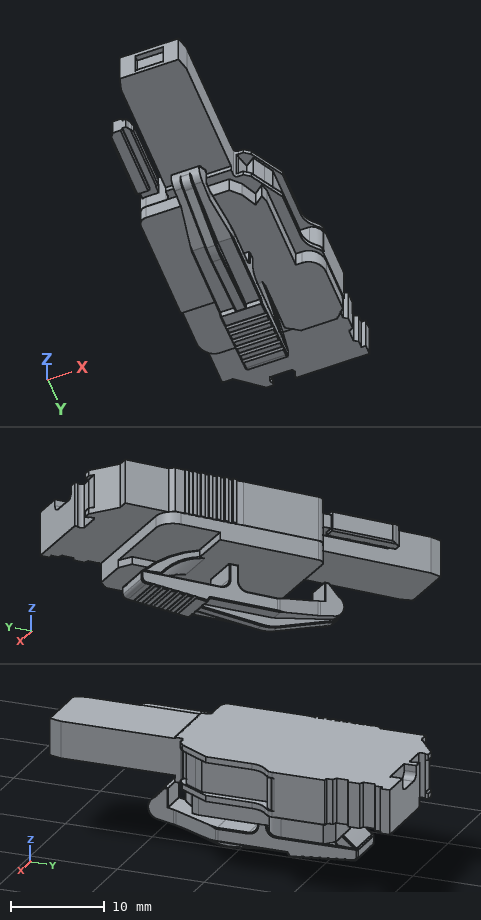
import cadquery as cq

LENGTH = 41.5
BODY_TOP = 5.15
BODY_RIGHT = 16.5
FRONT_FACE = 15.6
NECK_END = 14.55
CORNER_RADIUS = 0.9
NECK_FILLET = 0.4
FLANGE = 0.68

TAIL_WIDTH = 7.5
TAIL_LEFT = 3.6
TAIL_RIGHT = TAIL_LEFT + TAIL_WIDTH
TAIL_CENTER = TAIL_LEFT + TAIL_WIDTH / 2
TAIL_BOTTOM = 0.75
TAIL_TOP = 5.02
TAIL_TAPER_LENGTH = 1.4
TAIL_TAPER_INSET = 0.38
SOCKET_WIDTH = 3.2
SOCKET_BOTTOM = 1.4
SOCKET_TOP = 4.28
SOCKET_DEPTH = 0.6

RIB_COUNT = 7
RIB_PITCH = 0.93
RIB_WIDTH = 0.45
RIB_ROOT = 0.1
FIRST_RIB_Y = 26.5
RIB_PROUD = 0.19
RIB_FADE = 0.03
GRIP_INSET = 0.12
GRIP_FRONT = 25.4
GRIP_REAR = 33.5
GRIP_FRONT_RAMP = 0.88
GRIP_REAR_RAMP = 1.2

REAR_STEP = 0.5
REAR_SHOULDER = 39.2
REAR_SLOPE_START = 1.75
REAR_SLOPE_END = 4.7
NOTCH_LEFT = 5.55
NOTCH_WIDTH = 2.5
NOTCH_DEPTH = 1.1
NOTCH_UNDERCUT = 0.18
NOTCH_LIP = 0.35
LIP_CUT = 0.4
GROOVE_LEFT = 8.97
GROOVE_RIGHT = 12.9
GROOVE_LENGTH = 1.4
GROOVE_WALL = 0.76
GROOVE_DEPTH = 1.5

TOOTH_OUTER = 16.0
TOOTH_ROOT = 15.5
TOOTH_ZONE_FRONT = 34.0
TOOTH_ZONE_REAR = 40.4
TOOTH_PITCH = 3.1
GAP_COUNT = 2
GAP_CENTER = 35.6
GAP_ROOT_LENGTH = 1.3
GAP_MOUTH_LENGTH = 1.8
STEP_RIGHT = 15.0
STEP_REAR = 26.9

LOWER_BOTTOM = -2.25
LOWER_REAR = 34.8
LOWER_FRONT = FRONT_FACE - 0.03
LOWER_LEFT = 0.05
LOWER_RIGHT = 16.42
LOWER_STEP_RADIUS = 2.0
LOWER_REAR_RADIUS = 2.0
RELIEF_FRONT = 28.15
RELIEF_CEILING = -1.38
RELIEF_CORNER_WIDTH = 1.5
RELIEF_CORNER_LENGTH = 0.95

PIN_LEFT = 0.1
PIN_RIGHT = 2.66
PIN_TIP = 6.6
PIN_REAR = 14.75
PIN_TIP_STEPS = [(0, 1.0), (0.15, 0.6), (0.4, 0.18), (0.55, 0)]
PIN_STEP = 1.72
PIN_CENTER_Z = 2.79
PIN_THICKNESS = 2.34
PIN_FLANGE_THICKNESS = 1.6
PIN_EDGE = 0.2
PIN_NECK_LEFT = 0.5
PIN_NECK_RIGHT = 2.4

CLIP_WIDTH = 4.8
HOOK_WIDTH = 3.2
HOOK_REAR = 12.9
HOOK_TOP = -1.75
HOOK_EDGE = 0.1
HOOK_EDGE_BOTTOM = -4.0
TOLERANCE = 0.01
CLIP_TAPER_REAR = 18.8
CLIP_TAPER_FRONT = 13.65
TAPER_BLEND = 2.0
CLIP_EDGE = 0.13
KEEL_WIDTH = 1.3
CLIP_BOTTOM = -7.93
CLIP_REAR = 35.05
CLIP_FRONT = 10.0
LEVER_TOP = -5.15
STEM_FRONT = 23.54
STEM_REAR = 24.6
STEM_FILLET = 1.1
ARM_INNER_FRONT = 27.6
ARM_INNER_REAR = 32.7
TEETH_COUNT = 6
TOOTH_SPACING = 0.97
CLIP_TOOTH_RADIUS = 0.2
FIRST_TOOTH = (33.6, -6.72)
TEETH_SLOPE = -0.085


def slab(outline, bottom, top):
    """Extrude a closed XY wire between two heights."""
    return outline.extrude(top - bottom).translate((0, 0, bottom))


def box(x0, x1, y0, y1, z0, z1):
    return cq.Workplane("XY").box(x1 - x0, y1 - y0, z1 - z0, centered=False).translate((x0, y0, z0))


def side_profile(outline, width):
    """Extrude a closed YZ wire symmetrically about the clip's centre plane."""
    return outline.extrude(width / 2, both=True).translate((TAIL_CENTER, 0, 0))


def make_body():
    outline = (
        cq.Workplane("XY")
        .moveTo(TAIL_LEFT, NECK_END)
        .lineTo(TAIL_LEFT, FRONT_FACE - NECK_FILLET)
        .radiusArc((TAIL_LEFT - NECK_FILLET, FRONT_FACE), -NECK_FILLET)
        .lineTo(CORNER_RADIUS, FRONT_FACE)
        .radiusArc((0, FRONT_FACE + CORNER_RADIUS), CORNER_RADIUS)
        .lineTo(0, GRIP_REAR)
        .lineTo(REAR_STEP, GRIP_REAR + REAR_STEP)
        .lineTo(REAR_STEP, REAR_SHOULDER)
        .lineTo(REAR_SLOPE_START, REAR_SHOULDER)
        .lineTo(REAR_SLOPE_END, LENGTH)
        .lineTo(BODY_RIGHT, LENGTH)
        .lineTo(BODY_RIGHT, 27.9)
        .radiusArc((16.3, 27.35), 0.8)
        .lineTo(15.73, 26.76)
        .radiusArc((STEP_RIGHT, 25.0), -2.5)
        .lineTo(STEP_RIGHT, 19.7)
        .lineTo(12.8, 16.1)
        .lineTo(12.1, FRONT_FACE)
        .lineTo(TAIL_RIGHT + NECK_FILLET, FRONT_FACE)
        .radiusArc((TAIL_RIGHT, FRONT_FACE - NECK_FILLET), -NECK_FILLET)
        .lineTo(TAIL_RIGHT, NECK_END)
        .close()
    )
    return slab(outline, 0, BODY_TOP)


def rear_notch():
    right = NOTCH_LEFT + NOTCH_WIDTH
    floor = LENGTH - NOTCH_DEPTH
    bulge_top = LENGTH - NOTCH_LIP
    bulge_mid = (bulge_top + floor) / 2
    outline = (
        cq.Workplane("XY")
        .moveTo(NOTCH_LEFT, LENGTH)
        .lineTo(NOTCH_LEFT, bulge_top)
        .threePointArc((NOTCH_LEFT - NOTCH_UNDERCUT, bulge_mid), (NOTCH_LEFT, floor))
        .lineTo(right, floor)
        .threePointArc((right + NOTCH_UNDERCUT, bulge_mid), (right, bulge_top))
        .lineTo(right, LENGTH)
        .close()
    )
    return slab(outline, 0, BODY_TOP)


def rear_groove():
    """Groove open to the rear and top, its floor meeting the side walls in quarter rounds."""
    floor = BODY_TOP - GROOVE_DEPTH
    section = (
        cq.Workplane("XZ")
        .moveTo(GROOVE_LEFT, BODY_TOP)
        .lineTo(GROOVE_LEFT, floor + GROOVE_WALL)
        .radiusArc((GROOVE_LEFT + GROOVE_WALL, floor), -GROOVE_WALL)
        .lineTo(GROOVE_RIGHT - GROOVE_WALL, floor)
        .radiusArc((GROOVE_RIGHT, floor + GROOVE_WALL), -GROOVE_WALL)
        .lineTo(GROOVE_RIGHT, BODY_TOP)
        .close()
    )
    return section.extrude(GROOVE_LENGTH).translate((0, LENGTH, 0))


def rear_lip_cut():
    """Shortens the lip left of the notch between the two skins."""
    return box(0, NOTCH_LEFT, LENGTH - LIP_CUT, LENGTH, FLANGE, BODY_TOP - FLANGE)


def right_teeth_cut():
    cut = box(TOOTH_OUTER, BODY_RIGHT, TOOTH_ZONE_FRONT, TOOTH_ZONE_REAR, 0, BODY_TOP)
    for index in range(GAP_COUNT):
        center = GAP_CENTER + index * TOOTH_PITCH
        gap = cq.Workplane("XY").polyline([
            (TOOTH_OUTER, center - GAP_MOUTH_LENGTH / 2),
            (TOOTH_ROOT, center - GAP_ROOT_LENGTH / 2),
            (TOOTH_ROOT, center + GAP_ROOT_LENGTH / 2),
            (TOOTH_OUTER, center + GAP_MOUTH_LENGTH / 2),
        ]).close()
        cut = cut.union(slab(gap, 0, BODY_TOP))
    return cut


def right_side_recess():
    """Hollow between the two skins along the front part of the right side."""
    outline = (
        cq.Workplane("XY")
        .moveTo(11.3, FRONT_FACE)
        .lineTo(11.83, 17.3)
        .lineTo(12.84, 16.6)
        .lineTo(13.6, 17.9)
        .lineTo(14.2, 18.9)
        .lineTo(14.2, STEP_REAR)
        .lineTo(15.27, STEP_REAR)
        .radiusArc((BODY_RIGHT, 28.13), -1.6)
        .lineTo(BODY_RIGHT, FRONT_FACE)
        .close()
    )
    return slab(outline, FLANGE, BODY_TOP - FLANGE)


def grip_recess():
    outline = cq.Workplane("XY").polyline([
        (0, GRIP_FRONT),
        (GRIP_INSET, GRIP_FRONT + GRIP_FRONT_RAMP),
        (GRIP_INSET, GRIP_REAR - GRIP_REAR_RAMP),
        (0, GRIP_REAR),
    ]).close()
    return slab(outline, 0, BODY_TOP)


def make_grip():
    """Vertical ribs standing in the grip recess."""
    ribs = cq.Workplane("XY")
    half = RIB_WIDTH / 2
    for index in range(RIB_COUNT):
        y = FIRST_RIB_Y + index * RIB_PITCH
        proud = RIB_PROUD - index * RIB_FADE
        ribs = ribs.union(box(-proud, GRIP_INSET + RIB_ROOT, y - half, y + half, 0, BODY_TOP))
    return ribs


def make_lower_housing():
    outline = (
        cq.Workplane("XY")
        .moveTo(LOWER_LEFT + CORNER_RADIUS, LOWER_FRONT)
        .radiusArc((LOWER_LEFT, LOWER_FRONT + CORNER_RADIUS), CORNER_RADIUS)
        .lineTo(LOWER_LEFT, LOWER_REAR - LOWER_REAR_RADIUS)
        .radiusArc((LOWER_LEFT + LOWER_REAR_RADIUS, LOWER_REAR), LOWER_REAR_RADIUS)
        .lineTo(15.4, LOWER_REAR)
        .lineTo(LOWER_RIGHT, 33.8)
        .lineTo(LOWER_RIGHT, 28.9)
        .radiusArc((14.38, STEP_REAR), LOWER_STEP_RADIUS)
        .lineTo(13.72, STEP_REAR)
        .lineTo(13.72, 18.3)
        .lineTo(13.47, 17.5)
        .lineTo(12.45, 18.3)
        .lineTo(11.55, 16.6)
        .lineTo(10.5, LOWER_FRONT)
        .close()
    )
    return slab(outline, LOWER_BOTTOM, 0)


def make_tail():
    outline = cq.Workplane("XY").polyline([
        (TAIL_LEFT + TAIL_TAPER_INSET, 0),
        (TAIL_LEFT, TAIL_TAPER_LENGTH),
        (TAIL_LEFT, FRONT_FACE),
        (TAIL_RIGHT, FRONT_FACE),
        (TAIL_RIGHT, TAIL_TAPER_LENGTH),
        (TAIL_RIGHT - TAIL_TAPER_INSET, 0),
    ]).close()
    half = SOCKET_WIDTH / 2
    socket = box(TAIL_CENTER - half, TAIL_CENTER + half, 0, SOCKET_DEPTH, SOCKET_BOTTOM, SOCKET_TOP)
    return slab(outline, TAIL_BOTTOM, TAIL_TOP).cut(socket)


def make_pin():
    half = PIN_THICKNESS / 2
    flange_half = PIN_FLANGE_THICKNESS / 2
    upper = [
        (PIN_LEFT, half - PIN_EDGE),
        (PIN_LEFT + PIN_EDGE, half),
        (PIN_STEP - PIN_EDGE, half),
        (PIN_STEP, half - PIN_EDGE),
        (PIN_STEP, flange_half),
        (PIN_RIGHT - PIN_EDGE, flange_half),
        (PIN_RIGHT, flange_half - PIN_EDGE),
    ]
    lower = [(x, -z) for x, z in reversed(upper)]
    bar = cq.Workplane("XZ").polyline(upper + lower).close().extrude(PIN_REAR - PIN_TIP)
    bar = bar.translate((0, PIN_REAR, PIN_CENTER_Z))
    left_side = [(inset, PIN_TIP + length) for inset, length in PIN_TIP_STEPS]
    plan = cq.Workplane("XY").polyline(
        [(PIN_LEFT, PIN_REAR)]
        + [(PIN_LEFT + inset, y) for inset, y in left_side]
        + [(PIN_RIGHT - inset, y) for inset, y in reversed(left_side)]
        + [(PIN_RIGHT, PIN_REAR)]
    ).close()
    neck = box(
        PIN_NECK_LEFT, PIN_NECK_RIGHT, PIN_REAR, FRONT_FACE + CORNER_RADIUS,
        PIN_CENTER_Z - flange_half, PIN_CENTER_Z + flange_half,
    )
    return bar.intersect(slab(plan, 0, BODY_TOP)).union(neck)


def is_taper_corner(edge):
    return CLIP_TAPER_FRONT - TOLERANCE < edge.Center().y < CLIP_TAPER_REAR + TOLERANCE


def is_hook_edge(edge):
    """True for the side edges along the upper part of the hook."""
    center = edge.Center()
    on_side = abs(abs(center.x - TAIL_CENTER) - HOOK_WIDTH / 2) < TOLERANCE
    return on_side and center.y < HOOK_REAR + TOLERANCE and center.z > HOOK_EDGE_BOTTOM


def make_clip_lever():
    """Thumb lever, stem and hook as one side profile, narrowing toward the hook."""
    outline = (
        cq.Workplane("YZ")
        .moveTo(CLIP_REAR, -5.3)
        .lineTo(CLIP_REAR, -6.1)
        .radiusArc((34.5, -6.6), 0.55)
        .lineTo(27.2, -7.25)
        .lineTo(26.9, -6.8)
        .lineTo(18.6, -6.75)
        .lineTo(11.6, -5.5)
        .threePointArc((10.7, -4.7), (11.1, -3.2))
        .lineTo(12.4, HOOK_TOP)
        .lineTo(HOOK_REAR, HOOK_TOP)
        .lineTo(HOOK_REAR, -4.0)
        .lineTo(CLIP_TAPER_REAR, LEVER_TOP)
        .lineTo(STEM_FRONT - STEM_FILLET, LEVER_TOP)
        .radiusArc((STEM_FRONT, LEVER_TOP + STEM_FILLET), -STEM_FILLET)
        .lineTo(STEM_FRONT, LOWER_BOTTOM)
        .lineTo(STEM_REAR, LOWER_BOTTOM)
        .lineTo(STEM_REAR, LEVER_TOP + STEM_FILLET)
        .radiusArc((STEM_REAR + STEM_FILLET, LEVER_TOP), -STEM_FILLET)
        .lineTo(34.9, LEVER_TOP)
        .close()
    )
    wide = CLIP_WIDTH / 2
    narrow = HOOK_WIDTH / 2
    plan = cq.Workplane("XY").polyline([
        (-wide, CLIP_REAR),
        (-wide, CLIP_TAPER_REAR),
        (-narrow, CLIP_TAPER_FRONT),
        (-narrow, CLIP_FRONT),
        (narrow, CLIP_FRONT),
        (narrow, CLIP_TAPER_FRONT),
        (wide, CLIP_TAPER_REAR),
        (wide, CLIP_REAR),
    ]).close()
    envelope = slab(plan, CLIP_BOTTOM, 0).edges("|Z").filter(is_taper_corner).fillet(TAPER_BLEND)
    envelope = envelope.translate((TAIL_CENTER, 0, 0))
    lever = side_profile(outline, CLIP_WIDTH)
    lever = lever.faces("<X or >X").edges().chamfer(CLIP_EDGE).intersect(envelope)
    lever = lever.edges().filter(is_hook_edge).chamfer(HOOK_EDGE)
    for index in range(TEETH_COUNT):
        offset = index * TOOTH_SPACING
        y = FIRST_TOOTH[0] - offset
        z = FIRST_TOOTH[1] + TEETH_SLOPE * offset
        lever = lever.cut(side_profile(cq.Workplane("YZ").center(y, z).circle(CLIP_TOOTH_RADIUS), CLIP_WIDTH))
    return lever


def make_clip_arm():
    """Curved spring arm from the rear of the lever up to the lower housing."""
    outline = (
        cq.Workplane("YZ")
        .moveTo(CLIP_REAR, -5.3)
        .threePointArc((32.0, -2.98), (RELIEF_FRONT, RELIEF_CEILING))
        .lineTo(ARM_INNER_FRONT, LOWER_BOTTOM)
        .threePointArc((30.2, -3.12), (ARM_INNER_REAR, LEVER_TOP))
        .close()
    )
    return side_profile(outline, CLIP_WIDTH).faces("<X or >X").edges().chamfer(CLIP_EDGE)


def make_keel():
    outline = (
        cq.Workplane("YZ")
        .moveTo(27.2, -7.2)
        .lineTo(20.0, -7.9)
        .threePointArc((19.2, CLIP_BOTTOM), (18.2, -7.8))
        .lineTo(11.8, -5.85)
        .threePointArc((10.85, -5.3), (10.68, -4.6))
        .lineTo(HOOK_REAR, -4.6)
        .lineTo(18.8, -6.2)
        .lineTo(27.2, -6.2)
        .close()
    )
    return side_profile(outline, KEEL_WIDTH).faces("<X or >X").edges().chamfer(CLIP_EDGE)


def arm_relief():
    """Step in the underside that lets the spring arm in, with its far rear corner cut away."""
    right = TAIL_CENTER + CLIP_WIDTH / 2
    step = box(0, right, RELIEF_FRONT, LOWER_REAR, LOWER_BOTTOM, RELIEF_CEILING)
    corner = cq.Workplane("XY").polyline([
        (right, LOWER_REAR - RELIEF_CORNER_LENGTH),
        (right + RELIEF_CORNER_WIDTH, LOWER_REAR),
        (right, LOWER_REAR),
    ]).close()
    return step.union(slab(corner, LOWER_BOTTOM, RELIEF_CEILING))


body = make_body()
body = body.cut(rear_notch()).cut(rear_groove()).cut(rear_lip_cut())
body = body.cut(right_teeth_cut()).cut(right_side_recess())
body = body.cut(grip_recess()).union(make_grip())
lower = make_lower_housing().cut(arm_relief())
clip = make_clip_lever().union(make_clip_arm()).union(make_keel())
result = body.union(lower).union(make_tail()).union(make_pin()).union(clip)